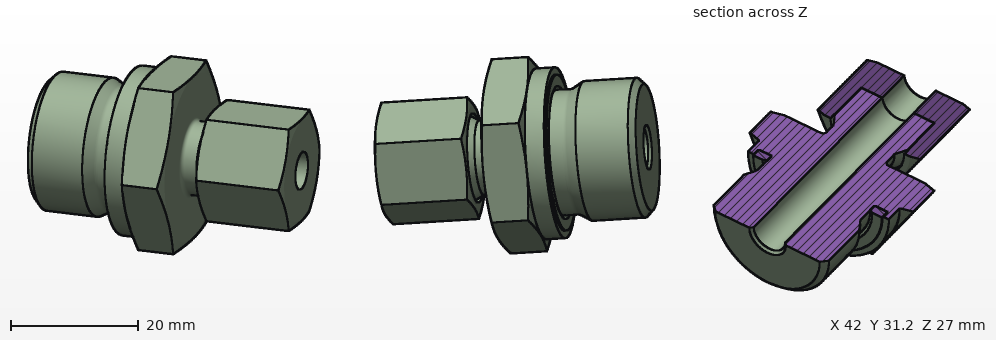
import cadquery as cq
import math


bore_radius = 3.0
overall_length = 42.0
hex_chamfer_angle = 15.0

thread_radius = 11.0
thread_chamfer = 1.05
thread_end = 9.4
runout_angle = 30.0
neck_radius = 9.85
neck_fillet = 1.2
bore_chamfer = 0.5

collar_radius = 13.45
collar_start = 14.0
hex_start = 17.0
hex_end = 24.0
hex_flats = 27.0
hex_face_radius = 13.4

stud_neck_radius = 5.85
stud_fillet = 0.65
stud_taper_start = 26.55
stud_taper_angle = 30.0
stud_radius = 7.0
stud_end = 35.95

seal_radius = 12.25
seal_start = 13.75
seal_width = 1.5
seal_mouth_widening = 0.6
seal_mouth_depth = 0.3
seal_end = seal_start + seal_width

nut_start = 27.45
nut_flats = 16.93
nut_face_radius = 8.15


def cylinder(radius, start, end):
    """Solid cylinder along X between two stations."""
    return cq.Workplane("YZ").workplane(offset=start).circle(radius).extrude(end - start)


def revolved(profile):
    """Turn a closed (x, radius) profile around the X axis."""
    return profile.close().revolve(360, (0, 0, 0), (1, 0, 0))


def chamfered_hexagon(flats, face_radius, start, end):
    """Hexagonal prism along X with corners on +Y and -Y, both ends turned to a shallow cone."""
    corner_radius = flats / math.sqrt(3)
    cone_length = (corner_radius - face_radius) * math.tan(math.radians(hex_chamfer_angle))
    prism = cq.Workplane("YZ").workplane(offset=start).polygon(6, 2 * corner_radius).extrude(end - start)
    envelope = revolved(
        cq.Workplane("XY")
        .moveTo(start, 0)
        .lineTo(start, face_radius)
        .lineTo(start + cone_length, corner_radius)
        .lineTo(end - cone_length, corner_radius)
        .lineTo(end, face_radius)
        .lineTo(end, 0)
    )
    return prism.intersect(envelope)


def threaded_end():
    """Threaded shank with lead-in chamfer, run-out cone, filleted neck and collar."""
    angle = math.radians(runout_angle)
    fillet_start_radius = neck_radius + neck_fillet * (1 - math.cos(angle))
    fillet_start = thread_end + (thread_radius - fillet_start_radius) / math.tan(angle)
    fillet_end = fillet_start + neck_fillet * math.sin(angle)
    return revolved(
        cq.Workplane("XY")
        .lineTo(0, thread_radius - thread_chamfer)
        .lineTo(thread_chamfer, thread_radius)
        .lineTo(thread_end, thread_radius)
        .lineTo(fillet_start, fillet_start_radius)
        .radiusArc((fillet_end, neck_radius), -neck_fillet)
        .lineTo(collar_start, neck_radius)
        .lineTo(collar_start, collar_radius)
        .lineTo(hex_start, collar_radius)
        .lineTo(hex_start, 0)
    )


def stud():
    """Stud with a filleted neck at the hexagon, widening in a taper to its full radius."""
    taper_length = (stud_radius - stud_neck_radius) / math.tan(math.radians(stud_taper_angle))
    return revolved(
        cq.Workplane("XY")
        .moveTo(hex_end, 0)
        .lineTo(hex_end, stud_neck_radius + stud_fillet)
        .radiusArc((hex_end + stud_fillet, stud_neck_radius), -stud_fillet)
        .lineTo(stud_taper_start, stud_neck_radius)
        .lineTo(stud_taper_start + taper_length, stud_radius)
        .lineTo(stud_end, stud_radius)
        .lineTo(stud_end, 0)
    )


def fitting_bore():
    """Through bore with a chamfered mouth on the threaded end."""
    return revolved(
        cq.Workplane("XY")
        .lineTo(0, bore_radius + bore_chamfer)
        .lineTo(bore_chamfer, bore_radius)
        .lineTo(stud_end, bore_radius)
        .lineTo(stud_end, 0)
    )


def make_fitting():
    """Main body: threaded end, collar, hexagon and stud on one bore, with the seal recess."""
    hexagon = chamfered_hexagon(hex_flats, hex_face_radius, hex_start, hex_end)
    recess = cylinder(seal_radius, collar_start, seal_end).cut(cylinder(neck_radius, collar_start, seal_end))
    return threaded_end().union(hexagon).union(stud()).cut(recess).cut(fitting_bore())


def make_seal():
    """Flat ring around the neck, its hole flared towards the threaded end."""
    return revolved(
        cq.Workplane("XY")
        .moveTo(seal_start, neck_radius + seal_mouth_widening)
        .lineTo(seal_start, seal_radius)
        .lineTo(seal_end, seal_radius)
        .lineTo(seal_end, neck_radius)
        .lineTo(seal_start + seal_mouth_depth, neck_radius)
    )


def make_nut():
    """Hexagonal nut: a socket for the stud, then a narrower passage through the far end."""
    hexagon = chamfered_hexagon(nut_flats, nut_face_radius, nut_start, overall_length)
    socket = cylinder(stud_radius, nut_start, stud_end)
    passage = cylinder(bore_radius, stud_end, overall_length)
    return hexagon.cut(socket).cut(passage)


fitting = make_fitting()
seal = make_seal()
nut = make_nut()

result = cq.Compound.makeCompound([fitting.val(), seal.val(), nut.val()])